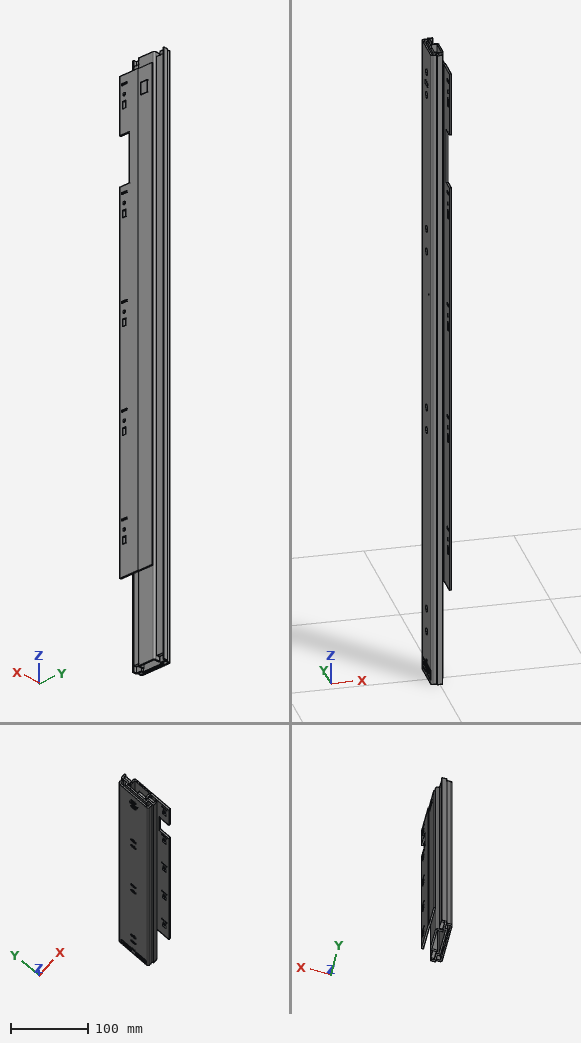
import cadquery as cq

LENGTH = 900
THICKNESS = 22.5
RAIL_AXIS_Y = 8.0
SHEET = 2.25
CORNER_RADIUS = 3.0

MIDDLE_BACK_X = -6.75
MIDDLE_STEP_X = -3.15
MIDDLE_FRONT_X = 4.0
MIDDLE_WEB_HALF_HEIGHT = 37.0 / 2
MIDDLE_HALF_HEIGHT = 28.0

FIXED_BACK_X = -THICKNESS / 2
FIXED_FRONT_X = -4.0
FIXED_RECESS = 2.0
FIXED_HALF_HEIGHT = MIDDLE_HALF_HEIGHT - FIXED_RECESS

DRAWER_BACK_X = -2.0
DRAWER_FRONT_X = 8.0
DRAWER_HALF_HEIGHT = 30.0 / 2
DRAWER_END_GAP = 3.0

CAGE_END_GAP = 9

SCREW_HOLE_DIAMETER = 5.0
COUNTERSINK_DIAMETER = 9
SCREW_PAIR_SPACING = 32.0
SCREW_PAIR_BOTTOMS_Z = (65.0, 353.0, 608.0, 832.5)

ACCESS_SLOT_WIDTH = 13.5
ACCESS_SLOT_HEIGHT = 5.0
ACCESS_SLOT_Z = SCREW_PAIR_BOTTOMS_Z[-1] + SCREW_PAIR_SPACING / 2

WINDOW_WIDTH = 18
WINDOW_HEIGHT = 13.5
WINDOW_OFFSET_Y = 13.0
WINDOW_Z = 12.0
WINDOW_LEDGE = 4.5
WINDOW_LEDGE_DEPTH = 1.0
NOTCH_WIDTH = 4.5
NOTCH_HEIGHT = 5.0
NOTCH_Z = 22.0

LATCH_BACK_X = 1.0
LATCH_FRONT_X = THICKNESS / 2
LATCH_HEIGHT = 12.0
LATCH_AXIS_Y = 7.0
LATCH_LENGTH = 18
LATCH_Z = ACCESS_SLOT_Z

BACK_PLATE_THICKNESS = 2.25
BACK_PLATE_TOP_Y = 21.0
BACK_PLATE_BOTTOM_Y = RAIL_AXIS_Y - DRAWER_HALF_HEIGHT
FLANGE_THICKNESS = 3.0
FLANGE_FRONT_X = THICKNESS / 2
BRACKET_BOTTOM_Z = 141.0
BRACKET_TOP_Z = 880.0
BRACKET_OUTER_Y = -36
FLANGE_INNER_Y = -4.0
BRACKET_GAP_BOTTOM_Z = 717.0
BRACKET_GAP_TOP_Z = 793.0
BRACKET_GAP_Y = -19.0

OPENING_PITCH = 160.0
OPENING_COUNT = 5
TOP_SLIT_Z = 867.0
OPENING_STEP = 15.0
OPENING_Y = -28.0
SLIT_WIDTH = 9
SLIT_HEIGHT = 3.0
SMALL_HOLE_DIAMETER = 4.5
LONG_SLOT_WIDTH = 5.0
LONG_SLOT_HEIGHT = 11.0


def box(x_range, y_range, z_range):
    """A block between the given limits."""
    lows, highs = zip(x_range, y_range, z_range)
    sizes = [high - low for low, high in zip(lows, highs)]
    return cq.Workplane("XY").box(*sizes, centered=False).translate(lows)


def span(center, size):
    """The limits of a length about its middle."""
    return (center - size / 2, center + size / 2)


def bar(back_x, front_x, half_height, end_gap=0):
    """A solid bar about the rail axis, stopping short of both ends of the slide by the end gap."""
    heights = span(RAIL_AXIS_Y, 2 * half_height)
    return box((back_x, front_x), heights, (end_gap, LENGTH - end_gap))


def round_hole(x_range, y, z, diameter):
    """A round cutter along X."""
    start, end = x_range
    return cq.Workplane("YZ", origin=(start, y, z)).circle(diameter / 2).extrude(end - start)


FIXED_WEB = (FIXED_BACK_X, FIXED_BACK_X + SHEET)
DRAWER_WEB_X = DRAWER_FRONT_X - SHEET
BACK_PLATE_SHEET = (DRAWER_FRONT_X, DRAWER_FRONT_X + BACK_PLATE_THICKNESS)
FLANGE_SHEET = (FLANGE_FRONT_X - FLANGE_THICKNESS, FLANGE_FRONT_X)
RACE_BACK_X = MIDDLE_STEP_X + SHEET
RACE_HALF_HEIGHT = MIDDLE_HALF_HEIGHT - SHEET


def screw_hole(z):
    """A hole through the fixed rail web, with a full-depth countersink from its outer face."""
    return (
        cq.Workplane("YZ", origin=(FIXED_BACK_X, RAIL_AXIS_Y, z))
        .circle(COUNTERSINK_DIAMETER / 2)
        .workplane(offset=SHEET)
        .circle(SCREW_HOLE_DIAMETER / 2)
        .loft()
    )


def stepped_window(side):
    """A window through the fixed rail web, wider at the outer face."""
    y = RAIL_AXIS_Y + side * WINDOW_OFFSET_Y
    ledge_x = FIXED_BACK_X + WINDOW_LEDGE_DEPTH
    mouth_y = span(y, WINDOW_WIDTH)
    mouth_z = span(WINDOW_Z, WINDOW_HEIGHT)
    mouth = box((FIXED_BACK_X, ledge_x), mouth_y, mouth_z)
    throat_y = span(y, WINDOW_WIDTH - 2 * WINDOW_LEDGE)
    throat_z = span(WINDOW_Z, WINDOW_HEIGHT - 2 * WINDOW_LEDGE)
    return mouth.union(box(FIXED_WEB, throat_y, throat_z))


def make_fixed_rail():
    rail = bar(FIXED_BACK_X, FIXED_FRONT_X, FIXED_HALF_HEIGHT)
    rail = rail.edges("|Z and <X").fillet(CORNER_RADIUS)
    inside = bar(FIXED_WEB[1], FIXED_FRONT_X, FIXED_HALF_HEIGHT - SHEET)
    rail = rail.cut(inside)
    for bottom_z in SCREW_PAIR_BOTTOMS_Z:
        for z in (bottom_z, bottom_z + SCREW_PAIR_SPACING):
            rail = rail.cut(screw_hole(z))
    slot_y = span(RAIL_AXIS_Y, ACCESS_SLOT_WIDTH)
    rail = rail.cut(box(FIXED_WEB, slot_y, span(ACCESS_SLOT_Z, ACCESS_SLOT_HEIGHT)))
    notch_y = span(RAIL_AXIS_Y, NOTCH_WIDTH)
    rail = rail.cut(box(FIXED_WEB, notch_y, span(NOTCH_Z, NOTCH_HEIGHT)))
    for side in (-1, 1):
        rail = rail.cut(stepped_window(side))
    return rail


def make_middle_rail():
    web = bar(MIDDLE_BACK_X, MIDDLE_FRONT_X, MIDDLE_WEB_HALF_HEIGHT)
    races = bar(MIDDLE_STEP_X, MIDDLE_FRONT_X, MIDDLE_HALF_HEIGHT)
    rail = web.union(races)
    rail = rail.cut(bar(MIDDLE_BACK_X + SHEET, MIDDLE_FRONT_X, MIDDLE_WEB_HALF_HEIGHT - SHEET))
    return rail.cut(bar(RACE_BACK_X, MIDDLE_FRONT_X, RACE_HALF_HEIGHT))


def make_ball_cage(side):
    """A strip that fills one race between the two rails."""
    inner_y = RAIL_AXIS_Y + side * DRAWER_HALF_HEIGHT
    outer_y = RAIL_AXIS_Y + side * RACE_HALF_HEIGHT
    heights = sorted((inner_y, outer_y))
    return box((RACE_BACK_X, MIDDLE_FRONT_X), heights, (CAGE_END_GAP, LENGTH - CAGE_END_GAP))


def latch_block():
    heights = span(LATCH_AXIS_Y, LATCH_HEIGHT)
    return box((LATCH_BACK_X, LATCH_FRONT_X), heights, span(LATCH_Z, LATCH_LENGTH))


def make_drawer_rail():
    rail = bar(DRAWER_BACK_X, DRAWER_FRONT_X, DRAWER_HALF_HEIGHT, DRAWER_END_GAP)
    rail = rail.edges("|Z and >X").fillet(CORNER_RADIUS)
    inside_half_height = DRAWER_HALF_HEIGHT - SHEET
    rail = rail.cut(bar(DRAWER_BACK_X, DRAWER_WEB_X, inside_half_height))
    return rail.cut(latch_block())


def bracket_openings(top_z):
    """Cutters for one group of openings, with the slit on top."""
    hole_z = top_z - OPENING_STEP
    slot_z = hole_z - OPENING_STEP
    slit = box(FLANGE_SHEET, span(OPENING_Y, SLIT_WIDTH), span(top_z, SLIT_HEIGHT))
    hole = round_hole(FLANGE_SHEET, OPENING_Y, hole_z, SMALL_HOLE_DIAMETER)
    slot = box(FLANGE_SHEET, span(OPENING_Y, LONG_SLOT_WIDTH), span(slot_z, LONG_SLOT_HEIGHT))
    return slit, hole, slot


def make_bracket():
    length = (BRACKET_BOTTOM_Z, BRACKET_TOP_Z)
    back_plate = box(BACK_PLATE_SHEET, (BACK_PLATE_BOTTOM_Y, BACK_PLATE_TOP_Y), length)
    flange = box(FLANGE_SHEET, (BRACKET_OUTER_Y, FLANGE_INNER_Y), length)
    bracket = back_plate.union(flange).cut(latch_block())
    gap_y = (BRACKET_OUTER_Y, BRACKET_GAP_Y)
    bracket = bracket.cut(box(FLANGE_SHEET, gap_y, (BRACKET_GAP_BOTTOM_Z, BRACKET_GAP_TOP_Z)))
    for index in range(OPENING_COUNT):
        top_z = TOP_SLIT_Z - index * OPENING_PITCH
        for cutter in bracket_openings(top_z):
            bracket = bracket.cut(cutter)
    return bracket


fixed_rail = make_fixed_rail()
middle_rail = make_middle_rail()
drawer_rail = make_drawer_rail()
latch = latch_block()
bracket = make_bracket()
ball_cages = [make_ball_cage(side) for side in (-1, 1)]

result = cq.Compound.makeCompound(
    [
        fixed_rail.val(),
        middle_rail.val(),
        drawer_rail.val(),
        latch.val(),
        bracket.val(),
        *[cage.val() for cage in ball_cages],
    ]
)